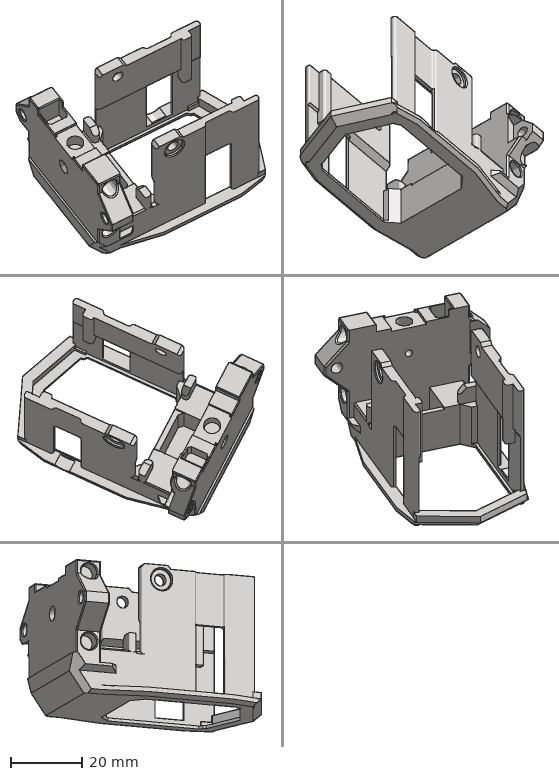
import cadquery as cq
length = 63.8
height = 38.6

rim_top = 2.35
rim_edge_height = 1.1
lip_top = 0.9
rim_half_width = 19.15
opening_half_width = 13.45
rear_rim_top = 4.35
rear_corner = (16.65, 57.2)
rear_bevel_height = 2.25
rear_bevel_run = 2.55

body_half_width = 16.6
tray_rear = 19.7
tray_top = 13.2
tray_edge_chamfer = 0.45
gusset_size = 2.5

plate_half_width = 18.45
plate_front = 0.65
plate_rear = 8.15
plate_top = 37.6
ear_tip = 25.43
ear_hole_x = 21.7
ear_hole_z = 25.9
hole_chamfer = 0.3
screw_diameter = 3.4
magnet_diameter = 4.7
magnet_depth = 3.8
magnet_y = 4.5
front_step_top = 10.9
front_bevel_top = 6.1

wall_front = 21.05
wall_rear = 55.45
wall_inner = 15.25
wall_rear_inner = 14.7
wall_pad_inner = 13.45
wall_pad_bottom = 22.65
wall_rounding = 0.9
rib_rear = 51.3


def box(x0, x1, y0, y1, z0, z1):
    """Block between the given coordinates."""
    return cq.Workplane("XY").box(x1 - x0, y1 - y0, z1 - z0, centered=False).translate((x0, y0, z0))


def plan(points, z0, z1):
    """Prism with an outline in the XY plane."""
    return cq.Workplane("XY").workplane(offset=z0).polyline(points).close().extrude(z1 - z0)


def elevation(points, y0, y1):
    """Prism with an outline in the XZ plane, running along Y."""
    return cq.Workplane("XZ").polyline(points).close().extrude(y0 - y1).translate((0, y0, 0))


def profile(points, x0, x1):
    """Prism with an outline in the YZ plane, running along X."""
    return cq.Workplane("YZ").workplane(offset=x0).polyline(points).close().extrude(x1 - x0)


def rod(diameter, start, direction, depth):
    """Cylinder from a start point along a direction."""
    return cq.Workplane(
        cq.Solid.makeCylinder(diameter / 2, depth, cq.Vector(*start), cq.Vector(*direction))
    )


def cone(small, large, start, direction, depth):
    """Cone that narrows from the large diameter at its start point."""
    return cq.Workplane(
        cq.Solid.makeCone(large / 2, small / 2, depth, cq.Vector(*start), cq.Vector(*direction))
    )


def mirrored(points):
    """Complete a symmetric outline from the points on its +X half."""
    return points + [(-x, other) for x, other in reversed(points) if x != 0]


def both_sides(shape):
    """The shape together with its mirror image in X."""
    return shape.union(shape.mirror("YZ"))


def make_rim():
    side = [
        (0, length), rear_corner, (17.15, 56.65), (rim_half_width, 47.7),
        (rim_half_width, 22.1), (body_half_width, 9.1), (body_half_width, -rim_edge_height),
    ]
    outline = mirrored(side)
    rim = plan(outline, rim_edge_height, rim_top)
    rim = rim.union(
        cq.Workplane("XY").workplane(offset=rim_edge_height).polyline(outline).close()
        .extrude(-rim_edge_height, taper=45)
    )
    corner_x, corner_y = rear_corner
    step_rear = 60.5
    step_front = 54.7
    rear_band = mirrored([(0, length), rear_corner, (corner_x, step_front)])
    rim = rim.union(plan(rear_band, rim_edge_height, rear_rim_top))

    gusset_rear = tray_rear + gusset_size
    front_corners = [(opening_half_width, gusset_rear), (opening_half_width - gusset_size, tray_rear)]
    side_lip = 14.35
    opening = mirrored([
        (0, 57.3), (13.3, 52.15), (opening_half_width, rib_rear), (side_lip, rib_rear - 0.9),
        (side_lip, gusset_rear + 0.9),
    ] + front_corners)
    rim = rim.cut(plan(opening, 0, rear_rim_top))
    upper_opening = mirrored(
        [(0, step_rear), (wall_rear_inner, step_front), (wall_rear_inner, rib_rear),
         (wall_inner, rib_rear), (wall_inner, gusset_rear)] + front_corners
    )
    rim = rim.cut(plan(upper_opening, lip_top, rear_rim_top))

    rear_edge = cq.Vector(corner_x, corner_y - length, 0)
    bevel_slope = cq.Vector(0, -rear_bevel_run, -rear_bevel_height)
    bevel_normal = rear_edge.cross(bevel_slope).normalized()
    if bevel_normal.z > 0:
        bevel_normal = -bevel_normal
    bevel_plane = cq.Plane((0, length, rear_bevel_height), rear_edge, bevel_normal)
    bevel = cq.Workplane(bevel_plane).rect(length, 12.75).extrude(12.75)
    half = box(0, length, 0, 2 * length, -length, length)
    return rim.cut(both_sides(bevel.intersect(half)))


def make_tray():
    tray = box(-body_half_width, body_half_width, 0, tray_rear, rim_edge_height, tray_top)
    tray = tray.edges("|Y and >Z").chamfer(tray_edge_chamfer)
    tray = tray.cut(box(-body_half_width, body_half_width, 0, plate_front, front_step_top, tray_top))
    return tray


def make_foot():
    shoulder = 7.65
    ledge_top = 8.4
    ledge_rear = 13.4
    flare = plate_half_width - body_half_width
    lower = mirrored([(body_half_width, front_bevel_top), (plate_half_width, shoulder),
                      (plate_half_width, ledge_top)])
    upper = mirrored([(plate_half_width, ledge_top), (plate_half_width, front_step_top)])
    foot = elevation(lower, 0, ledge_rear).union(elevation(upper, 0, plate_rear - 0.5))
    corner = [(body_half_width, ledge_rear), (plate_half_width, ledge_rear),
              (plate_half_width, ledge_rear - flare)]
    return foot.cut(both_sides(plan(corner, 0, ledge_top)))


def cut_tray_pocket(body):
    """Deep central pocket behind a slightly lowered rear lip."""
    left, right = -6.2, 7.2
    lip_front = 18.1
    corner = 1.2
    body = body.cut(box(left, right, plate_rear, tray_rear, tray_top - 0.65, tray_top))
    pocket = [(left, plate_rear), (right, plate_rear), (right, lip_front - corner),
              (right - corner, lip_front), (left, lip_front)]
    return body.cut(plan(pocket, rim_top, tray_top))


def make_tab():
    """Upright tab on the rear corner of the tray, sloping down towards the middle."""
    front = 17.4
    tab_top = 18.25
    inner_end = 10.8
    slope_start = 12.9
    outline = [(inner_end, tray_top - 0.65), (body_half_width, tray_top - 0.65), (body_half_width, tab_top),
               (slope_start, tab_top), (inner_end, tab_top - slope_start + inner_end)]
    tab = elevation(outline, front, tray_rear)
    tab = tab.edges("|Z and <X").fillet(1.0)
    tab = tab.edges("|Z and >X and >Y").fillet(1.0)
    return tab.edges("|Z and >X and <Y").fillet(0.5)


def make_plate():
    ear_top = 33.7
    ear_bottom = 17.15
    outline = mirrored([
        (plate_half_width, front_bevel_top + 1.9), (plate_half_width, ear_bottom), (ear_tip, 23.9),
        (ear_tip, 26.9), (plate_half_width, ear_top), (plate_half_width, plate_top),
    ])
    plate = elevation(outline, plate_front, plate_rear)
    plate = plate.faces(">Y").edges("not(>Z or <Z)").chamfer(0.5)

    step = 35.2
    floor = 34.3
    notch_left = -13.45
    notch_right = 9.7
    fin_front = 7.65
    plate = plate.cut(box(notch_left, notch_right, plate_front, fin_front, step, plate_top))
    plate = plate.cut(box(-12.05, notch_right, plate_front, plate_rear, step, plate_top))
    plate = plate.edges("|Y and >Z").chamfer(0.3)
    plate = plate.faces("<Y").edges().chamfer(0.3)
    plate = plate.cut(box(-4.45, 4.6, plate_front, plate_rear, floor, plate_top))
    plate = plate.cut(box(-5.25, 5.25, 1.3, plate_rear, floor, plate_top))

    pocket = box(notch_left, -8.5, 1.3, fin_front, 30.1, plate_top)
    plate = plate.cut(pocket.edges("|Z and >X").chamfer(0.75))

    clearance = [(5.7, 21.8), (5.7, 30.5), (plate_rear, 32.35), (plate_rear, 21.8)]
    return plate.cut(profile(clearance, -ear_tip, -plate_half_width))


def drill_plate(body):
    for x in (-ear_hole_x, ear_hole_x):
        body = body.cut(rod(screw_diameter, (x, 0, ear_hole_z), (0, 1, 0), plate_rear))
        body = body.cut(cone(screw_diameter, screw_diameter + 2 * hole_chamfer,
                             (x, plate_front, ear_hole_z), (0, 1, 0), hole_chamfer))

    small, large = 2.1, 4.2
    body = body.cut(rod(small, (0, 0, ear_hole_z), (0, 1, 0), plate_rear))
    body = body.cut(cone(small, large, (0, plate_front, ear_hole_z), (0, 1, 0), (large - small) / 2))

    for side in (-1, 1):
        for z in (14.3, 34.25):
            start = (side * ear_tip, magnet_y, z)
            reach = ear_tip - plate_half_width + magnet_depth
            body = body.cut(rod(magnet_diameter, start, (-side, 0, 0), reach))
            rim = cq.selectors.BoxSelector(
                (side * (plate_half_width - 0.65), 0, z - 3.8), (side * ear_tip, plate_rear, z + 3.8)
            )
            body = body.edges(rim).edges("not(%LINE)").chamfer(hole_chamfer)
    body = body.cut(rod(magnet_diameter, (0, magnet_y, plate_top), (0, 0, -1), 7))

    return body.cut(rod(5.0, (-ear_tip, 2.25, 20.1), (1, 0, 0), ear_tip - plate_half_width))


def thickening(inner, front, rear):
    """Upper inner layer of the wall with a 45 degree underside."""
    step = wall_inner - inner
    outline = [(wall_inner, wall_pad_bottom - step / 2), (inner, wall_pad_bottom + step / 2),
               (inner, height), (wall_inner, height)]
    return elevation(outline, front, rear)


def make_wall():
    web = box(wall_inner, body_half_width, wall_front, wall_rear, 0, height)
    web = web.edges("|Z and >X").fillet(wall_rounding)

    rib_front = 48.1
    rib_inner = 12.5
    pad = thickening(wall_pad_inner, wall_front, rib_rear)
    pad = pad.edges("|Z and <Y and <X").fillet(wall_rounding)
    rear_pad = thickening(wall_rear_inner, rib_rear, wall_rear)
    rear_pad = rear_pad.edges("|Z and >Y and <X").fillet(0.5)
    rib = box(rib_inner, wall_inner, rib_front, rib_rear, 18.05, height)
    rib = rib.edges("|Z and <X").fillet(0.75)
    wall = web.union(pad).union(rear_pad).union(rib)

    raised = height - plate_top
    pad_rear = 29.0
    silhouette = [(0, height), (wall_front, plate_top), (wall_front + raised, height),
                  (pad_rear, height), (pad_rear + raised, plate_top), (length, plate_top),
                  (length, length), (0, length)]
    wall = wall.cut(profile(silhouette, 0, rim_half_width))

    recess_depth = 1.1
    ease = 0.8
    window_front, window_rear = 37.65, 46.25
    floor_x = body_half_width - recess_depth
    middle_x = body_half_width - recess_depth / 2
    window_middle = (window_front + window_rear) / 2
    rear_half = (
        cq.Workplane("XY").workplane(offset=rim_top)
        .moveTo(floor_x, window_middle)
        .lineTo(floor_x, window_rear - ease)
        .tangentArcPoint((middle_x, window_rear), relative=False)
        .tangentArcPoint((body_half_width, window_rear + ease), relative=False)
        .lineTo(body_half_width, window_middle)
        .close().extrude(height)
    )
    wall = wall.cut(rear_half).cut(rear_half.mirror("XZ", (0, window_middle, 0)))
    wall = wall.cut(box(0, rim_half_width, window_front, window_rear, rim_top, 22.5))

    y, z = 27.1, 34.45
    bore, bore_depth = 6.05, 0.95
    wall = wall.cut(rod(screw_diameter, (0, y, z), (1, 0, 0), rim_half_width))
    wall = wall.cut(rod(bore, (body_half_width - bore_depth, y, z), (1, 0, 0), bore_depth))
    return wall.cut(cone(bore, bore + 2 * hole_chamfer, (body_half_width, y, z), (-1, 0, 0), hole_chamfer))


def make_gusset():
    """Filling between the tray and the side wall below the slot."""
    outline = [(opening_half_width - gusset_size, tray_rear), (body_half_width, tray_rear),
               (body_half_width, wall_front + 1.3), (opening_half_width, tray_rear + gusset_size)]
    gusset = plan(outline, rim_edge_height, tray_top)
    return gusset.edges("|Y and >X and >Z").chamfer(0.8)


def bevel_front(body):
    run = 4.4
    body = body.cut(profile([(-3.2, 0), (run, 0), (0, front_bevel_top), (-3.2, front_bevel_top)],
                            -length, length))
    body = body.cut(box(-length, length, -3.2, 0, -0.65, height))

    low = cq.Vector(14.75, run, 0)
    middle = cq.Vector(14.75, 0, front_bevel_top)
    high = cq.Vector(17.55, 0, front_step_top)
    normal = (middle - low).cross(high - low).normalized()
    if normal.x < 0:
        normal = -normal
    cutter = cq.Workplane(cq.Plane(low, middle - low, normal)).rect(length, length).extrude(12.75)
    return body.cut(both_sides(cutter))


def cut_rim_groove(body):
    """Shallow round groove across the left rim, at the window."""
    radius = 3.9
    groove_bottom = 1.6
    return body.cut(rod(2 * radius, (-rim_half_width, 42.05, groove_bottom + radius), (1, 0, 0), 3.5))


front = drill_plate(make_plate().union(make_foot()).union(make_tray()))
body = cut_tray_pocket(bevel_front(make_rim().union(front)))
sides = make_wall().union(make_gusset()).union(make_tab())
body = body.union(both_sides(sides))
result = cut_rim_groove(body)